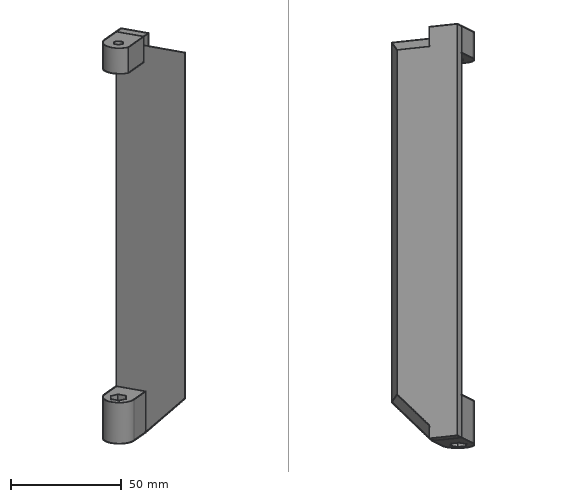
import cadquery as cq

length = 191.2
blade_width = 35.0
blade_thickness = 5.0
bevel_angle = 45
top_step_depth = 4.2
strip_width = 14.0

overall_depth = 24.0
knuckle_width = 15.0
nose_radius = knuckle_width / 2
hole_x = nose_radius
hole_y = 6.7
blade_front = overall_depth - blade_thickness

upper_height = 12.5
pin_hole_diameter = 4.4
lower_height = 19.9
socket_across_corners = 8.0
hexagon_sides = 6


def make_blade():
    """Square-edged hinge strip joined to a plate whose free edges slope in towards the back."""
    strip = (
        cq.Workplane("XY", origin=(0, blade_front, 0))
        .box(strip_width, blade_thickness, length, centered=False)
    )
    free_top = length - top_step_depth
    corner_slope = lower_height / (blade_width - knuckle_width)
    overrun_x = -blade_width
    overrun_z = lower_height - corner_slope * (blade_width - overrun_x)
    front_outline = [
        (overrun_x, overrun_z),
        (blade_width, lower_height),
        (blade_width, free_top),
        (overrun_x, free_top),
    ]
    bevelled_plate = (
        cq.Workplane("XZ", origin=(0, blade_front, 0))
        .polyline(front_outline)
        .close()
        .extrude(-blade_thickness, taper=bevel_angle)
    )
    blade_envelope = cq.Workplane("XY").box(blade_width, overall_depth, length, centered=False)
    return bevelled_plate.intersect(blade_envelope).union(strip)


def make_knuckle_block(bottom, height):
    """Solid block from the blade front to a half-round nose as wide as the block."""
    return (
        cq.Workplane("XY", origin=(0, 0, bottom))
        .moveTo(0, blade_front)
        .lineTo(0, nose_radius)
        .threePointArc((nose_radius, 0), (knuckle_width, nose_radius))
        .lineTo(knuckle_width, blade_front)
        .close()
        .extrude(height)
    )


def make_upper_knuckle():
    """Knuckle trimmed flush with the strip, with a round pin hole through it."""
    bottom = length - upper_height
    strip_limit = (
        cq.Workplane("XY", origin=(0, 0, bottom))
        .box(strip_width, overall_depth, upper_height, centered=False)
    )
    pin_hole = (
        cq.Workplane("XY", origin=(hole_x, hole_y, bottom))
        .circle(pin_hole_diameter / 2)
        .extrude(upper_height)
    )
    return make_knuckle_block(bottom, upper_height).intersect(strip_limit).cut(pin_hole)


def make_lower_knuckle():
    """Full-width knuckle with a hexagonal socket through it."""
    socket = (
        cq.Workplane("XY", origin=(hole_x, hole_y, 0))
        .polygon(hexagon_sides, socket_across_corners)
        .extrude(lower_height)
    )
    return make_knuckle_block(0, lower_height).cut(socket)


blade = make_blade()
upper_knuckle = make_upper_knuckle()
lower_knuckle = make_lower_knuckle()

result = cq.Compound.makeCompound([blade.val(), upper_knuckle.val(), lower_knuckle.val()])